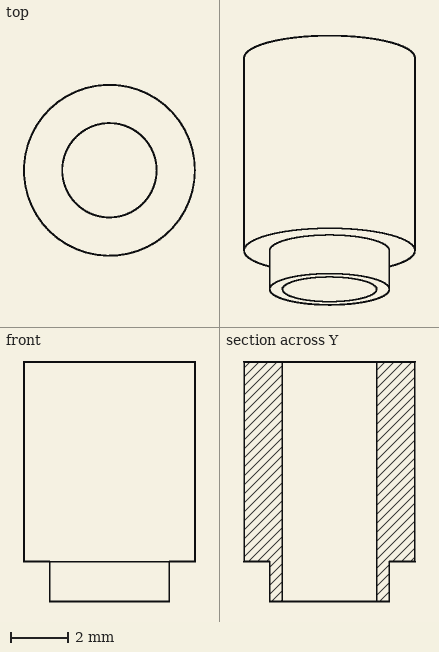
import cadquery as cq

total_height = 8.4
spigot_height = 1.4
body_diameter = 6.0
spigot_diameter = 4.2
bore_diameter = 3.3

body_height = total_height - spigot_height

spigot = cq.Workplane("XY").circle(spigot_diameter / 2).extrude(spigot_height)

body = (
    cq.Workplane("XY")
    .workplane(offset=spigot_height)
    .circle(body_diameter / 2)
    .extrude(body_height)
)

bore = cq.Workplane("XY").circle(bore_diameter / 2).extrude(total_height)

result = spigot.union(body).cut(bore)